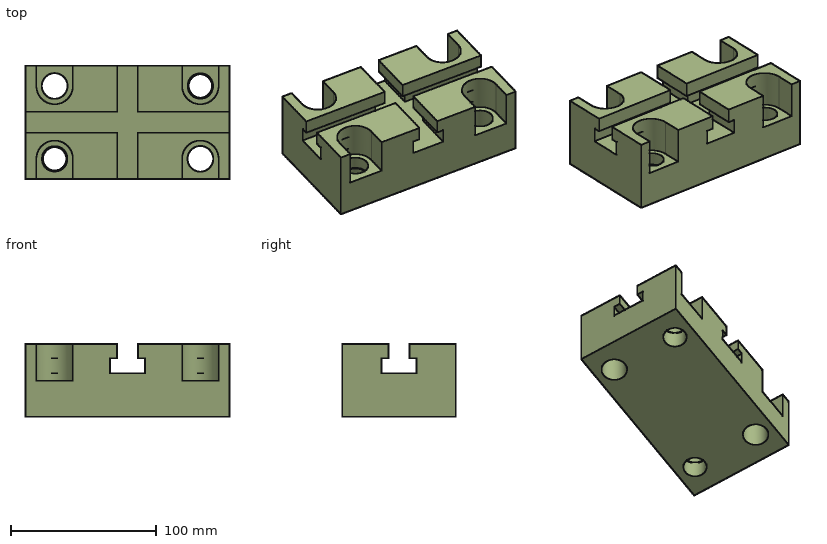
import cadquery as cq

length = 140.0
width = 78.0
height = 50.0

slot_neck_width = 14.3
slot_head_width = 23.8
slot_neck_depth = 10.0
slot_depth = 20.0

pocket_width = 25.0
pocket_depth = 25.0
hole_spacing_x = 100.0
hole_spacing_y = 50.0

plain_hole_diameter = 17.5
narrow_hole_diameter = 16.0
counterbore_depth = 9.0

pocket_floor = height - pocket_depth


def box_on_floor(size_x, size_y, floor):
    """Cutter from the given floor level up to the top face."""
    return (
        cq.Workplane("XY")
        .workplane(offset=floor)
        .rect(size_x, size_y)
        .extrude(height - floor)
    )


def t_slot():
    """T-slot cutter running along X."""
    neck = box_on_floor(length, slot_neck_width, height - slot_depth)
    head = (
        cq.Workplane("XY")
        .workplane(offset=height - slot_depth)
        .rect(length, slot_head_width)
        .extrude(slot_depth - slot_neck_depth)
    )
    return neck.union(head)


def screw_pocket(x, side):
    """Round-ended pocket cutter that opens through the face on the given Y side."""
    y = side * hole_spacing_y / 2
    face_y = side * width / 2
    round_end = (
        cq.Workplane("XY")
        .workplane(offset=pocket_floor)
        .center(x, y)
        .circle(pocket_width / 2)
        .extrude(pocket_depth)
    )
    mouth = box_on_floor(pocket_width, abs(face_y - y), pocket_floor)
    return round_end.union(mouth.translate((x, (y + face_y) / 2, 0)))


def plain_hole(x, y):
    """Straight through-hole cutter."""
    return cq.Workplane("XY").center(x, y).circle(plain_hole_diameter / 2).extrude(pocket_floor)


def stepped_hole(x, y):
    """Narrow through-hole cutter, widened from the pocket floor down to the step."""
    bore = cq.Workplane("XY").center(x, y).circle(narrow_hole_diameter / 2).extrude(pocket_floor)
    counterbore = (
        cq.Workplane("XY")
        .workplane(offset=pocket_floor - counterbore_depth)
        .center(x, y)
        .circle(plain_hole_diameter / 2)
        .extrude(counterbore_depth)
    )
    return bore.union(counterbore)


result = cq.Workplane("XY").box(length, width, height, centered=(True, True, False))

result = result.cut(t_slot())
result = result.cut(t_slot().rotate((0, 0, 0), (0, 0, 1), 90))

for side_x in (-1, 1):
    for side_y in (-1, 1):
        hole_x = side_x * hole_spacing_x / 2
        hole_y = side_y * hole_spacing_y / 2
        result = result.cut(screw_pocket(hole_x, side_y))
        if side_x == side_y:
            result = result.cut(stepped_hole(hole_x, hole_y))
        else:
            result = result.cut(plain_hole(hole_x, hole_y))